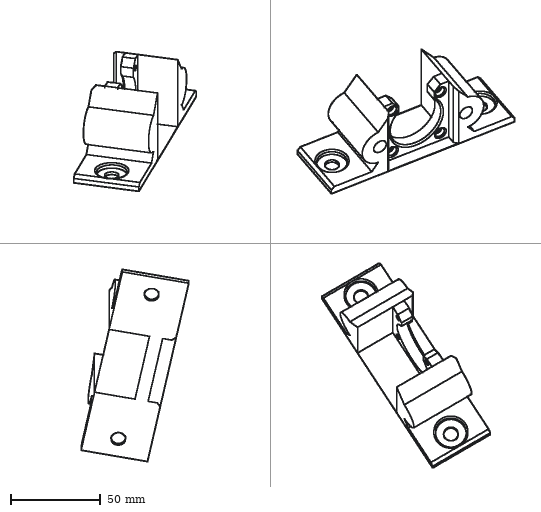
import cadquery as cq

width = 38.1
length = 119.0
height = 43.0
axis_z = 21.4

foot_thickness = 4.8
foot_chamfer = 1.9
foot_hole_y = 48.1
foot_hole_diameter = 8.1
foot_recess_diameter = 17.3
foot_recess_depth = 3.0
foot_recess_chamfer = 1.0

wall_inner_y = 21.0
wall_chamfer = 2.1
waist_y = 29.2
waist_offset = 11.4
wall_foot_y = 33.3
lobe_y = 28.0
lobe_radius = 11.5
pin_hole_diameter = 8.1
pin_hole_depth = 23.8

floor_thickness = 0.4
web_start_x = 7.4
web_thickness = 7.5
bore_radius = 16.4
bore_chamfer = 1.1
mouth_half_width = 11.5
mouth_chamfer = 4.0

screw_offset = 15.6
screw_hole_diameter = 3.2
screw_recess_diameter = 6.0
screw_recess_depth = 3.6
screw_recess_chamfer = 0.7


def cylinder_x(radius, depth, x, y, z):
    """Cylinder running along +X from the given point."""
    return cq.Workplane("YZ", origin=(x, y, z)).circle(radius).extrude(depth)


def cone(plane, origin, mouth_radius, chamfer):
    """45-degree cone for breaking a hole edge, narrowing along the plane normal."""
    return cq.Workplane(plane, origin=origin).circle(mouth_radius).extrude(chamfer, taper=45)


def make_base():
    base = cq.Workplane("XY").box(width, length, foot_thickness, centered=(False, True, False))
    return base.faces(">Z").edges("|X").chamfer(foot_chamfer)


def make_wall():
    """Wall on the +Y side: sloping faces and a round lobe."""
    wall = (
        cq.Workplane("YZ")
        .moveTo(wall_inner_y, 0)
        .lineTo(wall_foot_y, 0)
        .lineTo(wall_foot_y, foot_thickness)
        .lineTo(waist_y, axis_z - waist_offset)
        .lineTo(waist_y, axis_z + waist_offset)
        .lineTo(wall_inner_y, height)
        .close()
        .extrude(width)
    )
    return wall.union(cylinder_x(lobe_radius, width, 0, lobe_y, axis_z))


def make_channel_cut():
    """Space between the walls above the thin floor, flared at the -X end to chamfer the wall edges."""
    return (
        cq.Workplane("XY", origin=(0, 0, floor_thickness))
        .moveTo(0, -wall_inner_y - wall_chamfer)
        .lineTo(wall_chamfer, -wall_inner_y)
        .lineTo(width, -wall_inner_y)
        .lineTo(width, wall_inner_y)
        .lineTo(wall_chamfer, wall_inner_y)
        .lineTo(0, wall_inner_y + wall_chamfer)
        .close()
        .extrude(height)
    )


def make_web():
    web = (
        cq.Workplane("XY", origin=(web_start_x, 0, 0))
        .box(web_thickness, 2 * wall_inner_y, height, centered=(False, True, False))
    )
    mouth = (
        cq.Workplane("YZ", origin=(web_start_x, 0, 0))
        .moveTo(-mouth_half_width, axis_z)
        .lineTo(mouth_half_width, axis_z)
        .lineTo(mouth_half_width, height - mouth_chamfer)
        .lineTo(mouth_half_width + mouth_chamfer, height)
        .lineTo(-mouth_half_width - mouth_chamfer, height)
        .lineTo(-mouth_half_width, height - mouth_chamfer)
        .close()
        .extrude(web_thickness)
    )
    web = web.cut(mouth)
    web = web.cut(cylinder_x(bore_radius, web_thickness, web_start_x, 0, axis_z))
    web = web.cut(cone("YZ", (web_start_x, 0, axis_z), bore_radius + bore_chamfer, bore_chamfer))
    for y in (-screw_offset, screw_offset):
        for z in (axis_z - screw_offset, axis_z + screw_offset):
            web = cut_screw_hole(web, y, z)
    return web


def cut_screw_hole(body, y, z):
    recess_radius = screw_recess_diameter / 2
    mouth_radius = recess_radius + screw_recess_chamfer
    body = body.cut(cylinder_x(screw_hole_diameter / 2, web_thickness, web_start_x, y, z))
    body = body.cut(cylinder_x(recess_radius, screw_recess_depth, web_start_x, y, z))
    return body.cut(cone("YZ", (web_start_x, y, z), mouth_radius, screw_recess_chamfer))


def cut_foot_hole(body, y):
    """Recessed hole with a chamfered rim."""
    recess_radius = foot_recess_diameter / 2
    centre = (width / 2, y, foot_thickness)
    top = cq.Workplane("XY", origin=centre)
    body = body.cut(top.circle(foot_hole_diameter / 2).extrude(-foot_thickness))
    body = body.cut(top.circle(recess_radius).extrude(-foot_recess_depth))
    return body.cut(cone("YX", centre, recess_radius + foot_recess_chamfer, foot_recess_chamfer))


wall = make_wall()
result = make_base().union(wall).union(wall.mirror("XZ"))
result = result.cut(make_channel_cut()).union(make_web())

for side in (-1, 1):
    result = cut_foot_hole(result, side * foot_hole_y)
    pin_hole = cylinder_x(pin_hole_diameter / 2, pin_hole_depth, 0, side * lobe_y, axis_z)
    result = result.cut(pin_hole)